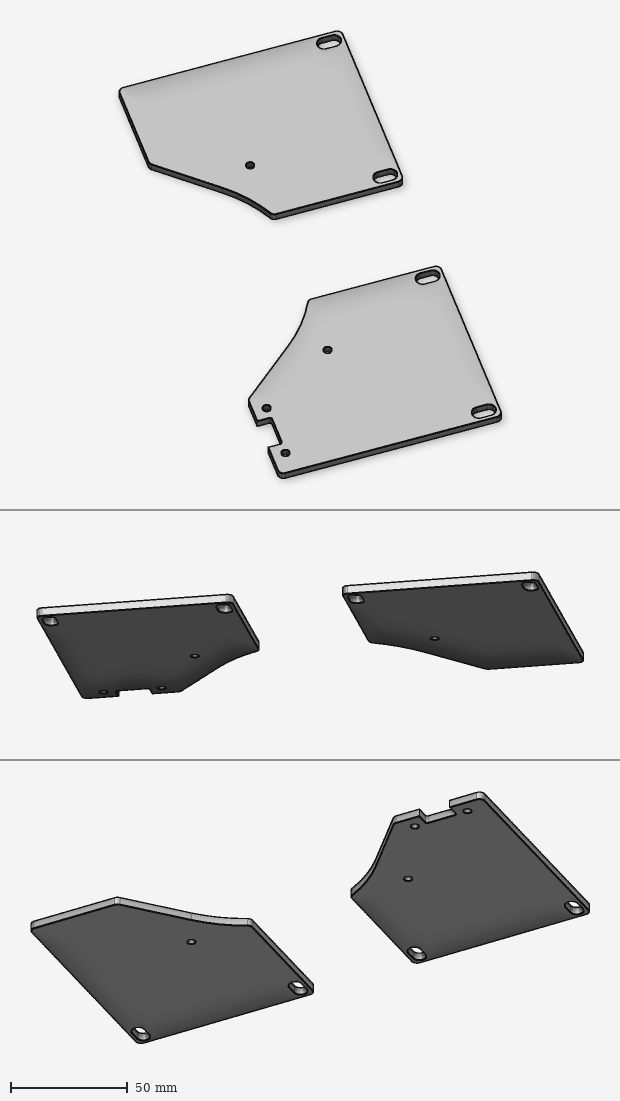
import cadquery as cq
import math

OVERALL_X = 219.4
PLATE_X = 85.8
PLATE_Y = 101.0
THICKNESS = 4.0
EDGE_BREAK = 0.3

CORNER_RADIUS = 2.6
BOTTOM_EDGE = 42.8
SLANT_ANGLE = 49.0
SLANT_RUN = 22.4
INNER_SIDE_BOTTOM = 41.5

SLOT_WIDTH = 5.7
SLOT_LENGTH = 10.3
SLOT_SIDE_INSET = 4.8
SLOT_TOP_INSET = 7.0

HOLE_DIAMETER = 3.3
CENTRE_HOLE_X = 57.3
CENTRE_HOLE_Y = 40.8

NOTCH_CENTRE = 23.0
NOTCH_WIDTH = 14.5
NOTCH_DEPTH = 6.4
NOTCH_CORNER_RADIUS = 0.9
NOTCH_HOLE_SPACING = 25.5
NOTCH_HOLE_Y = 6.1


def plate_blank():
    """Plain left plate: outer side on X = 0, bottom edge on Y = 0, all outer corners rounded."""
    angle = math.radians(SLANT_ANGLE)
    slant_top = (BOTTOM_EDGE + SLANT_RUN, SLANT_RUN * math.tan(angle))
    blank = (
        cq.Workplane("XY")
        .moveTo(0, 0)
        .lineTo(BOTTOM_EDGE, 0)
        .lineTo(*slant_top)
        .tangentArcPoint((PLATE_X, INNER_SIDE_BOTTOM), relative=False)
        .lineTo(PLATE_X, PLATE_Y)
        .lineTo(0, PLATE_Y)
        .close()
        .extrude(THICKNESS)
    )
    smooth_edge = cq.selectors.NearestToPointSelector((*slant_top, THICKNESS / 2))
    upright_edges = cq.selectors.ParallelDirSelector(cq.Vector(0, 0, 1))
    corners = cq.selectors.SubtractSelector(upright_edges, smooth_edge)
    return blank.edges(corners).fillet(CORNER_RADIUS)


def drilled(plate, points):
    """Cut round through holes at the given points."""
    cutter = cq.Workplane("XY").pushPoints(points).circle(HOLE_DIAMETER / 2).extrude(THICKNESS)
    return plate.cut(cutter)


def slotted(plate):
    """Cut the two upright through slots near the top corners."""
    slot_y = PLATE_Y - SLOT_TOP_INSET
    slots = (
        cq.Workplane("XY")
        .pushPoints([(SLOT_SIDE_INSET, slot_y), (PLATE_X - SLOT_SIDE_INSET, slot_y)])
        .slot2D(SLOT_LENGTH, SLOT_WIDTH, 90)
        .extrude(THICKNESS)
    )
    return plate.cut(slots)


def notched(plate):
    """Cut the bottom notch, with rounded inner corners, and the two holes beside it."""
    notch = (
        cq.Workplane("XY")
        .center(NOTCH_CENTRE, NOTCH_DEPTH / 2)
        .rect(NOTCH_WIDTH, NOTCH_DEPTH)
        .extrude(THICKNESS)
        .faces(">Y")
        .edges("|Z")
        .fillet(NOTCH_CORNER_RADIUS)
    )
    half_spacing = NOTCH_HOLE_SPACING / 2
    holes = [(NOTCH_CENTRE + side * half_spacing, NOTCH_HOLE_Y) for side in (-1, 1)]
    return drilled(plate.cut(notch), holes)


def edge_broken(plate):
    """Break every edge of the top and bottom faces, those of the holes and slots included."""
    return plate.faces("|Z").edges().chamfer(EDGE_BREAK)


def left_plate():
    return drilled(slotted(plate_blank()), [(CENTRE_HOLE_X, CENTRE_HOLE_Y)])


def right_plate():
    """Mirror image of the left plate, with the notch added."""
    return notched(left_plate()).mirror("YZ").translate((OVERALL_X, 0, 0))


left_body = edge_broken(left_plate())
right_body = edge_broken(right_plate())
result = cq.Compound.makeCompound([left_body.val(), right_body.val()])